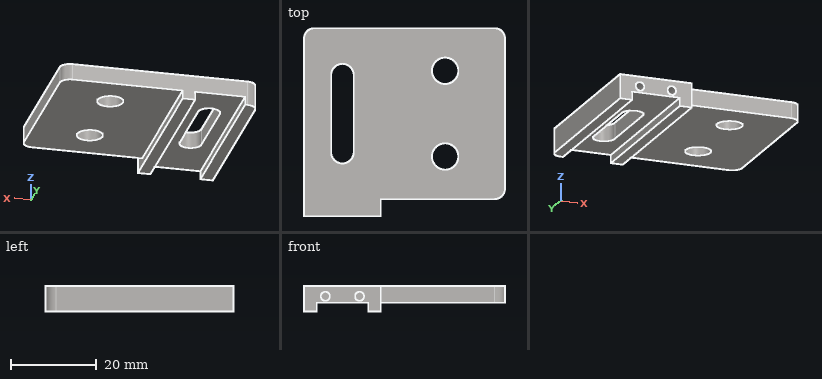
import cadquery as cq

length = 47.0
width = 44.0
height = 6.0
plate_thickness = 4.0
corner_radius = 2.5

tab_width = 18.0
tab_projection = 4.0
rail_width = 3.0
rail_height = height - plate_thickness

opening_center_y = (tab_projection + width) / 2
slot_width = 5.2
slot_length = 23.2
hole_diameter = 6.1
hole_spacing = 20.0
hole_x = 33.0

pin_diameter = 2.1
pin_spacing = 8.0
pin_z = 3.55
pin_depth = 6.0


def make_plate():
    """Flat plate with a front tab; the corners away from the tab are rounded."""
    body = (
        cq.Workplane("XY", origin=(0, tab_projection, rail_height))
        .box(length, width - tab_projection, plate_thickness, centered=False)
    )
    rounded_plate = body.edges("|Z and (>X or >Y)").fillet(corner_radius)
    tab = (
        cq.Workplane("XY", origin=(0, 0, rail_height))
        .box(tab_width, tab_projection, plate_thickness, centered=False)
    )
    return rounded_plate.union(tab)


def make_rail(left_x):
    """Rail under the full plate width; the outer one follows the rounded rear corner."""
    rail = (
        cq.Workplane("XY", origin=(left_x, 0, 0))
        .box(rail_width, width, rail_height, centered=False)
    )
    if left_x == 0:
        rail = rail.edges("|Z and <X and >Y").fillet(corner_radius)
    return rail


def make_openings():
    """Slot between the rails and two round holes beside them."""
    slot = (
        cq.Workplane("XY", origin=(tab_width / 2, opening_center_y, 0))
        .slot2D(slot_length, slot_width, 90)
        .extrude(height)
    )
    holes = (
        cq.Workplane("XY", origin=(hole_x, opening_center_y, 0))
        .rarray(0.45, hole_spacing, 1, 2)
        .circle(hole_diameter / 2)
        .extrude(height)
    )
    return slot.union(holes)


def make_pin_hole(center_x):
    """Flat-bottomed blind hole running back from the front face."""
    return (
        cq.Workplane("XZ", origin=(center_x, 0, pin_z))
        .circle(pin_diameter / 2)
        .extrude(-pin_depth)
    )


result = make_plate()
for rail_x in (0, tab_width - rail_width):
    result = result.union(make_rail(rail_x))
result = result.cut(make_openings())
for side in (-1, 1):
    result = result.cut(make_pin_hole(tab_width / 2 + side * pin_spacing / 2))